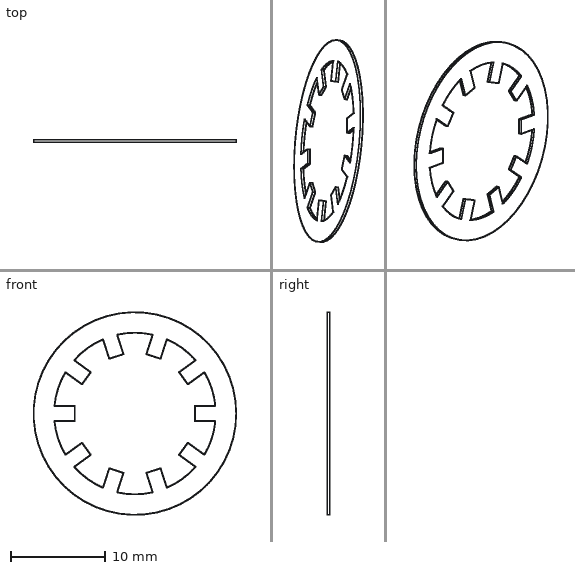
import cadquery as cq

outer_diameter = 21.5
ring_inner_diameter = 17.1
tooth_tip_distance = 6.35
tooth_width = 1.6
tooth_count = 10
thickness = 0.3

ring_mid_radius = (outer_diameter + ring_inner_diameter) / 4


def make_ring():
    """Flat ring centred on the origin."""
    return (
        cq.Workplane("XZ", origin=(0, thickness / 2, 0))
        .circle(outer_diameter / 2)
        .circle(ring_inner_diameter / 2)
        .extrude(thickness)
    )


def make_tooth(angle):
    """Straight tooth pointing at the axis, with its root buried in the ring."""
    tooth_length = ring_mid_radius - tooth_tip_distance
    tooth_centre = (ring_mid_radius + tooth_tip_distance) / 2
    return (
        cq.Workplane("XY")
        .box(tooth_length, thickness, tooth_width)
        .translate((tooth_centre, 0, 0))
        .rotate((0, 0, 0), (0, 1, 0), angle)
    )


washer = make_ring()
for index in range(tooth_count):
    washer = washer.union(make_tooth(index * 360 / tooth_count))

result = washer.clean()